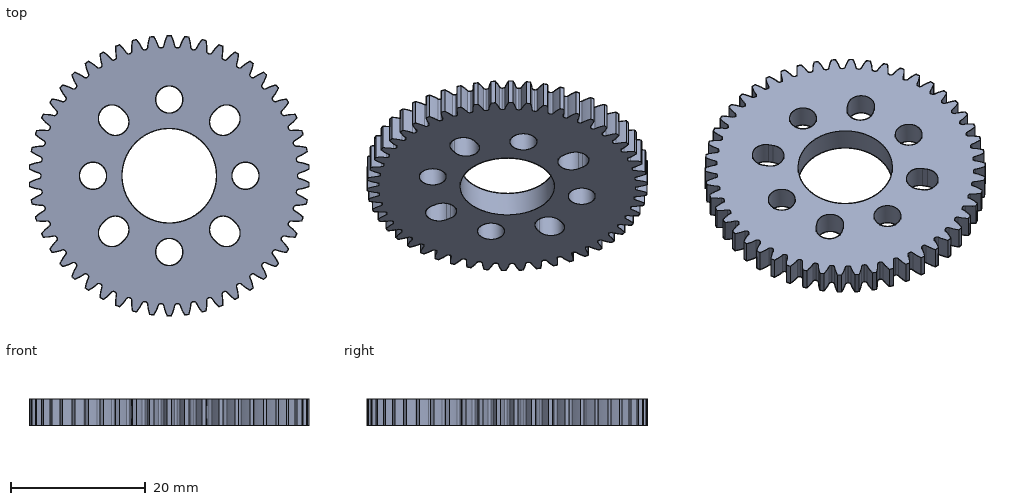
import cadquery as cq
import math

MODULE = 0.8
TOOTH_COUNT = 50
PRESSURE_ANGLE = math.radians(20)
ADDENDUM = MODULE
DEDENDUM = 1.2 * MODULE
ROOT_FILLET_RADIUS = 0.38
FLANK_POINT_COUNT = 5

PITCH_RADIUS = MODULE * TOOTH_COUNT / 2
TIP_RADIUS = PITCH_RADIUS + ADDENDUM
ROOT_RADIUS = PITCH_RADIUS - DEDENDUM
BASE_RADIUS = PITCH_RADIUS * math.cos(PRESSURE_ANGLE)
FILLET_CENTER_RADIUS = ROOT_RADIUS + ROOT_FILLET_RADIUS
TOOTH_PITCH_ANGLE = 2 * math.pi / TOOTH_COUNT
FIRST_TOOTH_ANGLE = math.pi / 2

THICKNESS = 4.0
BORE_DIAMETER = 14.0
HOLE_DIAMETER = 4.0
SLOT_INNER_OFFSET = 8.0
SLOT_OUTER_OFFSET = 8.5
SLOT_INNER_RADIUS = SLOT_INNER_OFFSET * math.sqrt(2)
SLOT_OUTER_RADIUS = SLOT_OUTER_OFFSET * math.sqrt(2)
HOLE_CIRCLE_RADIUS = SLOT_INNER_RADIUS
OPENINGS_PER_PATTERN = 4
SLOT_START_ANGLE = 45


def polar_point(radius, angle):
    return (radius * math.cos(angle), radius * math.sin(angle))


def involute_angle(pressure_angle):
    return math.tan(pressure_angle) - pressure_angle


def half_tooth_angle(radius):
    """Half of the angle a tooth spans at the given radius."""
    local_pressure_angle = math.acos(BASE_RADIUS / radius)
    roll_back = involute_angle(PRESSURE_ANGLE) - involute_angle(local_pressure_angle)
    return TOOTH_PITCH_ANGLE / 4 + roll_back


def fillet_half_angle():
    """Angle from the tooth centre to the root fillet centre.

    The fillet centre lies on the flank offset by the fillet radius. Offsetting an
    involute turns it about the gear axis by the offset over the base radius.
    """
    return half_tooth_angle(FILLET_CENTER_RADIUS) + ROOT_FILLET_RADIUS / BASE_RADIUS


def flank_start_radius():
    """Gear radius at which the root fillet runs tangentially into the flank."""
    center_tangent_length = math.sqrt(FILLET_CENTER_RADIUS**2 - BASE_RADIUS**2)
    return math.hypot(BASE_RADIUS, center_tangent_length - ROOT_FILLET_RADIUS)


def fillet_points(tooth_angle, side):
    """Start on the root circle, middle and end on the flank of one root fillet."""
    center_angle = tooth_angle + side * fillet_half_angle()
    center_x, center_y = polar_point(FILLET_CENTER_RADIUS, center_angle)
    flank_radius = flank_start_radius()
    root_point = polar_point(ROOT_RADIUS, center_angle)
    flank_point = polar_point(flank_radius, tooth_angle + side * half_tooth_angle(flank_radius))
    chord_x = (root_point[0] + flank_point[0]) / 2 - center_x
    chord_y = (root_point[1] + flank_point[1]) / 2 - center_y
    reach = ROOT_FILLET_RADIUS / math.hypot(chord_x, chord_y)
    middle_point = (center_x + reach * chord_x, center_y + reach * chord_y)
    return [root_point, middle_point, flank_point]


def flank_points(tooth_angle, side):
    """Involute points from fillet to tip; side is -1 before and +1 after the tooth centre."""
    start_radius = flank_start_radius()
    step = (TIP_RADIUS - start_radius) / (FLANK_POINT_COUNT - 1)
    radii = [start_radius + i * step for i in range(FLANK_POINT_COUNT)]
    return [polar_point(r, tooth_angle + side * half_tooth_angle(r)) for r in radii]


def add_tooth(outline, tooth_angle):
    """Extend the outline over one tooth and the root land that follows it."""
    rising_fillet = fillet_points(tooth_angle, -1)
    rising_flank = flank_points(tooth_angle, -1)
    falling_flank = flank_points(tooth_angle, 1)[::-1]
    falling_fillet = fillet_points(tooth_angle, 1)[::-1]
    gap_angle = tooth_angle + TOOTH_PITCH_ANGLE / 2
    next_root_angle = tooth_angle + TOOTH_PITCH_ANGLE - fillet_half_angle()
    return (
        outline.threePointArc(*rising_fillet[1:])
        .spline(rising_flank[1:], includeCurrent=True)
        .threePointArc(polar_point(TIP_RADIUS, tooth_angle), falling_flank[0])
        .spline(falling_flank[1:], includeCurrent=True)
        .threePointArc(*falling_fillet[1:])
        .threePointArc(
            polar_point(ROOT_RADIUS, gap_angle),
            polar_point(ROOT_RADIUS, next_root_angle),
        )
    )


def make_gear_blank():
    start_angle = FIRST_TOOTH_ANGLE - fillet_half_angle()
    outline = cq.Workplane("XY").moveTo(*polar_point(ROOT_RADIUS, start_angle))
    for i in range(TOOTH_COUNT):
        outline = add_tooth(outline, FIRST_TOOTH_ANGLE + i * TOOTH_PITCH_ANGLE)
    return outline.close().extrude(THICKNESS)


def make_bore():
    return cq.Workplane("XY").circle(BORE_DIAMETER / 2).extrude(THICKNESS)


def make_axis_holes():
    """Round holes on the X and Y axes."""
    return (
        cq.Workplane("XY")
        .polarArray(HOLE_CIRCLE_RADIUS, 0, 360, OPENINGS_PER_PATTERN)
        .circle(HOLE_DIAMETER / 2)
        .extrude(THICKNESS)
    )


def make_diagonal_slots():
    """Short radial slots on the diagonals, as wide as the round holes."""
    center_radius = (SLOT_INNER_RADIUS + SLOT_OUTER_RADIUS) / 2
    length = SLOT_OUTER_RADIUS - SLOT_INNER_RADIUS + HOLE_DIAMETER
    return (
        cq.Workplane("XY")
        .polarArray(center_radius, SLOT_START_ANGLE, 360, OPENINGS_PER_PATTERN)
        .slot2D(length, HOLE_DIAMETER)
        .extrude(THICKNESS)
    )


result = make_gear_blank().cut(make_bore()).cut(make_axis_holes()).cut(make_diagonal_slots())